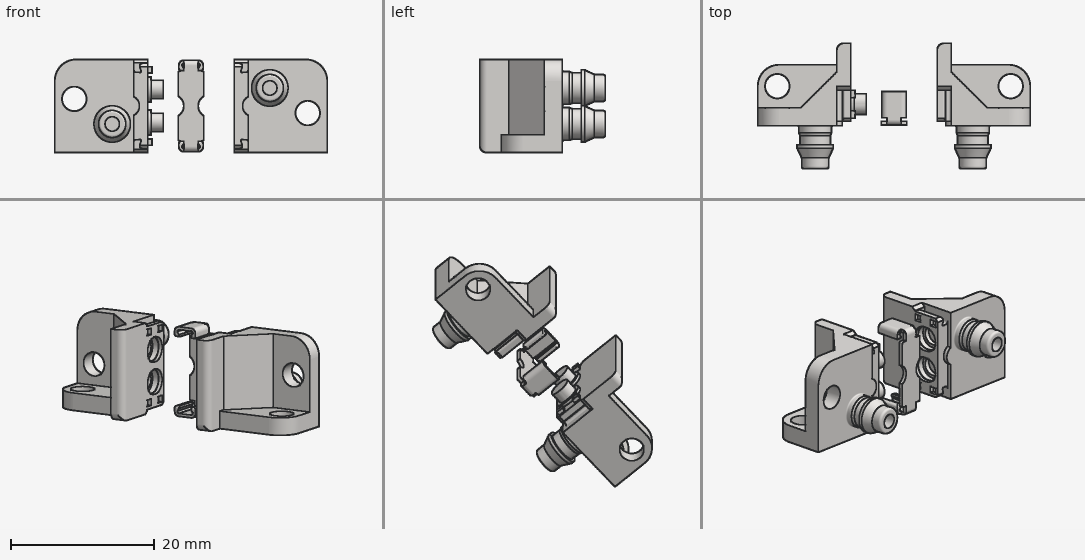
import cadquery as cq
import math

TOTAL_LENGTH = 38.0
HOUSING_LENGTH = 13.0
PLATE_THICKNESS = 1.98
HOUSING_HEIGHT = 13.0
PLATE_BACK_Y = 11.5
MID_Z = HOUSING_HEIGHT / 2
OUTER_X = -TOTAL_LENGTH / 2
MATING_X = OUTER_X + HOUSING_LENGTH
BLOCK_X = MATING_X - PLATE_THICKNESS

WALL_THICKNESS = 2.5
FLANGE_THICKNESS = 2.5
FLANGE_BACK_Y = 8.5
CORNER_RADIUS = 3.0
GUSSET_START = 6.0
GUSSET_BACK_Y = 7.5
PLATE_EDGE_RADIUS = 1.0
HOLE_DIAMETER = 3.4
HOLE_INSET = 2.75
FLANGE_HOLE_Y = 5.5
WALL_HOLE_RISE = 1.0

BARB_INSET = 8.0
BARB_DROP = 2.5
BORE_DIAMETER = 2.0
COLLAR_DIAMETER = 4.6
NECK_DIAMETER = 4.3
RIDGE_DIAMETER = 5.1
TIP_DIAMETER = 3.8
COLLAR_END = 0.95
NECK_START = 1.35
RIDGE_START = 2.62
RIDGE_END = 3.1
TIP_START = 4.5
BARB_LENGTH = 6.0
TIP_FILLET = 0.35
ROOT_FILLET = 0.2

SEAT_FRONT_Y = 0.6
SEAT_BACK_Y = 4.98
SEAT_DROP = 0.57
SLOPE_LENGTH = 0.55
SLOPE_HEIGHT = 0.5
SEAT_CHAMFER = 0.45
HOOK_POCKET_DROP = 1.82
TENON_EDGE = 0.85
TENON_ROUND = 0.35
UNDERCUT_TOP = 1.1
UNDERCUT_EDGE = 1.03
UNDERCUT_BOTTOM = 1.55
UNDERCUT_ROUND = 0.25
POCKET_FILLET = 0.38
BUMP_RADIUS = 1.45
BUMP_REACH = 0.8

PORT_Y = 3.0
PORT_SPACING = 4.6
PORT_STRETCH = 0.35
PIN_WIDTH = 2.6
PIN_LENGTH = 2.15
PIN_COLLAR_WIDTH = 3.55
PIN_COLLAR_LENGTH = 0.45
PIN_HOLE_DEPTH = 2.28
COUNTERBORE_WIDTH = 3.42
COUNTERBORE_DEPTH = 1.52
PEG_Y_SIZE = 1.03
PEG_Z_SIZE = 0.9
PEG_LENGTH = 0.57
PEG_Y_SPACING = 2.9
PEG_Z_SPACING = 10.07

CLIP_WIDTH = 3.57
CLIP_NECK_WIDTH = 1.98
CLIP_FRONT_Y = 0.08
CLIP_BACK_Y = 4.8
HOOK_FRONT_Y = 1.1
CLIP_DROP = 0.1
CLIP_THICKNESS = 0.57
CLIP_CORNER_RADIUS = 0.75
ARM_THICKNESS = 0.4
SHOULDER_DROP = 1.6
NOTCH_RADIUS = 1.6
HOOK_RADIUS = 0.72
HOOK_THICKNESS = 0.45
HOOK_LIP_DROP = 1.25
HOOK_TIP_DROP = 1.6
HOOK_TIP_FILLET = 0.35
SHOULDER_FILLET = 0.23

ARC_MID_INSET = 1 - math.sqrt(0.5)


def box(x0, x1, y0, y1, z0, z1):
    """Box between two opposite corners."""
    return cq.Workplane("XY").box(x1 - x0, y1 - y0, z1 - z0, centered=False).translate((x0, y0, z0))


def with_mirror(shape, plane, base):
    """Shape joined to its mirror image."""
    return shape.union(shape.mirror(plane, base))


def at_both_ends(shape):
    """Shape joined to its mirror image about the mid height."""
    return with_mirror(shape, "XY", (0, 0, MID_Z))


def along_y(start_y, depth, draw):
    """Extrude an X-Z outline toward +Y; draw(workplane) returns the closed wire."""
    workplane = cq.Workplane("XZ", origin=(0, start_y, 0))
    return draw(workplane).extrude(-depth)


def bracket(edge_x):
    """Front wall, bottom flange, corner gusset and plate; edge_x is the plate's rounded rear side."""
    wall = box(OUTER_X, BLOCK_X, 0, WALL_THICKNESS, 0, HOUSING_HEIGHT)
    wall = wall.edges("|Y and <X and >Z").fillet(CORNER_RADIUS)
    flange = box(OUTER_X, BLOCK_X, 0, FLANGE_BACK_Y, 0, FLANGE_THICKNESS)
    flange = flange.edges("|Z and <X and >Y").fillet(CORNER_RADIUS)
    gusset = (
        cq.Workplane("XY")
        .moveTo(OUTER_X + GUSSET_START, WALL_THICKNESS)
        .lineTo(BLOCK_X, GUSSET_BACK_Y)
        .lineTo(BLOCK_X, WALL_THICKNESS)
        .close()
        .extrude(HOUSING_HEIGHT)
    )
    plate = box(BLOCK_X, MATING_X, 0, PLATE_BACK_Y, 0, HOUSING_HEIGHT)
    side = "<X" if edge_x == BLOCK_X else ">X"
    plate = plate.edges(f"(|Z and >Y and {side}) or (|X and >Y and <Z)").fillet(PLATE_EDGE_RADIUS)
    return wall.union(flange).union(gusset).union(plate)


def mounting_holes(wall_hole_z):
    """Drills for the hole through the front wall and the one through the flange."""
    hole_x = OUTER_X + HOLE_INSET
    radius = HOLE_DIAMETER / 2
    wall_hole = cq.Workplane("XZ", origin=(hole_x, 0, wall_hole_z)).circle(radius).extrude(-WALL_THICKNESS)
    flange_hole = (
        cq.Workplane("XY", origin=(hole_x, FLANGE_HOLE_Y, 0)).circle(radius).extrude(FLANGE_THICKNESS)
    )
    return wall_hole.union(flange_hole)


def hose_barb(barb_z):
    """Turned hose barb pointing toward -Y, with a blind bore as deep as the barb."""
    tip_radius = TIP_DIAMETER / 2
    corner = TIP_FILLET * ARC_MID_INSET
    root_corner = ROOT_FILLET * ARC_MID_INSET
    collar_radius = COLLAR_DIAMETER / 2
    barb = (
        cq.Workplane("XY")
        .moveTo(0, WALL_THICKNESS / 2)
        .lineTo(collar_radius + ROOT_FILLET, WALL_THICKNESS / 2)
        .lineTo(collar_radius + ROOT_FILLET, 0)
        .threePointArc(
            (collar_radius + root_corner, -root_corner),
            (collar_radius, -ROOT_FILLET),
        )
        .lineTo(collar_radius, -COLLAR_END)
        .lineTo(NECK_DIAMETER / 2, -NECK_START)
        .lineTo(NECK_DIAMETER / 2, -RIDGE_START)
        .lineTo(RIDGE_DIAMETER / 2, -RIDGE_START)
        .lineTo(RIDGE_DIAMETER / 2, -RIDGE_END)
        .lineTo(tip_radius, -TIP_START)
        .lineTo(tip_radius, TIP_FILLET - BARB_LENGTH)
        .threePointArc(
            (tip_radius - corner, corner - BARB_LENGTH),
            (tip_radius - TIP_FILLET, -BARB_LENGTH),
        )
        .lineTo(0, -BARB_LENGTH)
        .close()
        .revolve(360, (0, 0, 0), (0, 1, 0))
    )
    bore = cq.Workplane("XZ").circle(BORE_DIAMETER / 2).extrude(BARB_LENGTH)
    return barb.cut(bore).translate((OUTER_X + BARB_INSET, 0, barb_z))


def clip_seat_cut():
    """Material removed from the plate so that the clip can lie in its front, top and bottom."""
    tenon_top = HOUSING_HEIGHT - SEAT_DROP
    ledge = (
        cq.Workplane("YZ", origin=(BLOCK_X, 0, 0))
        .moveTo(0, MID_Z)
        .lineTo(SEAT_FRONT_Y, MID_Z)
        .lineTo(SEAT_FRONT_Y, tenon_top - SEAT_CHAMFER)
        .lineTo(SEAT_FRONT_Y + SEAT_CHAMFER, tenon_top)
        .lineTo(SEAT_BACK_Y, tenon_top)
        .lineTo(SEAT_BACK_Y, HOUSING_HEIGHT - SLOPE_HEIGHT)
        .lineTo(SEAT_BACK_Y + SLOPE_LENGTH, HOUSING_HEIGHT)
        .lineTo(0, HOUSING_HEIGHT)
        .close()
        .extrude(PLATE_THICKNESS)
    )

    def pocket_outline(workplane):
        def point(offset, drop):
            return (BLOCK_X + offset, HOUSING_HEIGHT - drop)

        tenon_corner = TENON_ROUND * ARC_MID_INSET
        fillet_corner = POCKET_FILLET * ARC_MID_INSET
        return (
            workplane.moveTo(*point(0, SEAT_DROP))
            .lineTo(*point(TENON_EDGE + TENON_ROUND, SEAT_DROP))
            .threePointArc(
                point(TENON_EDGE + tenon_corner, SEAT_DROP + tenon_corner),
                point(TENON_EDGE, SEAT_DROP + TENON_ROUND),
            )
            .lineTo(*point(TENON_EDGE, UNDERCUT_TOP))
            .lineTo(*point(UNDERCUT_EDGE, UNDERCUT_BOTTOM))
            .tangentArcPoint(point(UNDERCUT_EDGE - UNDERCUT_ROUND, HOOK_POCKET_DROP), relative=False)
            .lineTo(*point(POCKET_FILLET, HOOK_POCKET_DROP))
            .threePointArc(
                point(fillet_corner, HOOK_POCKET_DROP - fillet_corner),
                point(0, HOOK_POCKET_DROP - POCKET_FILLET),
            )
            .close()
        )

    pocket = along_y(0, SEAT_BACK_Y, pocket_outline)
    bump = along_y(
        0,
        SEAT_FRONT_Y,
        lambda plane: plane.center(BLOCK_X + BUMP_REACH - BUMP_RADIUS, MID_Z).circle(BUMP_RADIUS),
    )
    return at_both_ends(ledge.union(pocket)).cut(bump)


def stadiums(width, x0, x1):
    """Two upright rods along X, their round outline stretched slightly in Y."""
    half_spacing = PORT_SPACING / 2
    return (
        cq.Workplane("YZ", origin=(x0, PORT_Y, MID_Z))
        .pushPoints([(0, -half_spacing), (0, half_spacing)])
        .slot2D(width + PORT_STRETCH, width)
        .extrude(x1 - x0)
    )


def pegs():
    """Four square locating pegs standing on the mating face."""
    return (
        cq.Workplane("YZ", origin=(MATING_X, PORT_Y, MID_Z))
        .rarray(PEG_Y_SPACING, PEG_Z_SPACING, 2, 2)
        .rect(PEG_Y_SIZE, PEG_Z_SIZE)
        .extrude(PEG_LENGTH)
    )


def basic_housing(edge_x, wall_hole_z, barb_z):
    """Housing in the left-hand position without its couplings."""
    return (
        bracket(edge_x)
        .union(hose_barb(barb_z))
        .cut(mounting_holes(wall_hole_z))
        .cut(clip_seat_cut())
    )


def build_plug_housing():
    """Left housing: pins and pegs project from its mating face."""
    collars = stadiums(PIN_COLLAR_WIDTH, MATING_X, MATING_X + PIN_COLLAR_LENGTH)
    pins = stadiums(PIN_WIDTH, MATING_X, MATING_X + PIN_LENGTH)
    housing = basic_housing(BLOCK_X, MID_Z + WALL_HOLE_RISE, MID_Z - BARB_DROP)
    return housing.union(collars).union(pins).union(pegs())


def build_socket_housing():
    """Right housing: mirror-handed, with ports and recesses that receive the pins and pegs."""
    recesses = pegs().mirror("YZ", (MATING_X, 0, 0))
    mouths = stadiums(PIN_COLLAR_WIDTH, MATING_X - PEG_LENGTH, MATING_X)
    counterbores = stadiums(COUNTERBORE_WIDTH, MATING_X - COUNTERBORE_DEPTH, MATING_X)
    pin_holes = stadiums(PIN_WIDTH, MATING_X - PIN_HOLE_DEPTH, MATING_X)
    housing = basic_housing(MATING_X, MID_Z - WALL_HOLE_RISE, MID_Z + BARB_DROP)
    housing = housing.cut(recesses).cut(mouths).cut(counterbores).cut(pin_holes)
    return housing.mirror("YZ")


def clip_face():
    """Front strip of the clip: notched at mid height and necked down at both ends."""
    bottom_z = CLIP_DROP
    top_z = HOUSING_HEIGHT - CLIP_DROP
    back_y = CLIP_FRONT_Y + CLIP_THICKNESS
    strip = box(
        -CLIP_WIDTH / 2,
        CLIP_WIDTH / 2,
        CLIP_FRONT_Y,
        back_y,
        SHOULDER_DROP,
        HOUSING_HEIGHT - SHOULDER_DROP,
    )
    strip = strip.edges("|Y").fillet(SHOULDER_FILLET)
    neck = box(-CLIP_NECK_WIDTH / 2, CLIP_NECK_WIDTH / 2, CLIP_FRONT_Y, back_y, bottom_z, top_z)
    notch_x = PLATE_THICKNESS - BUMP_REACH + BUMP_RADIUS
    notches = along_y(
        CLIP_FRONT_Y,
        CLIP_THICKNESS,
        lambda plane: plane.pushPoints([(-notch_x, MID_Z), (notch_x, MID_Z)]).circle(NOTCH_RADIUS),
    )
    return strip.union(neck).cut(notches)


def clip_arm():
    """Top arm of the clip reaching back over the plates."""
    top_z = HOUSING_HEIGHT - CLIP_DROP
    half_width = CLIP_NECK_WIDTH / 2
    return box(-half_width, half_width, CLIP_FRONT_Y, CLIP_BACK_Y, top_z - ARM_THICKNESS, top_z)


def clip_hook():
    """Hook on the right edge of the top arm, curling down around the plate's tenon."""
    root_x = CLIP_NECK_WIDTH / 2
    outer_x = root_x + HOOK_RADIUS
    inner_radius = HOOK_RADIUS - HOOK_THICKNESS
    inner_x = root_x + inner_radius
    center_drop = CLIP_DROP + HOOK_RADIUS
    diagonal = math.sqrt(0.5)

    def point(x, drop):
        return (x, HOUSING_HEIGHT - drop)

    def outline(workplane):
        return (
            workplane.moveTo(*point(root_x, CLIP_DROP))
            .threePointArc(
                point(root_x + HOOK_RADIUS * diagonal, center_drop - HOOK_RADIUS * diagonal),
                point(outer_x, center_drop),
            )
            .lineTo(*point(outer_x, HOOK_TIP_DROP))
            .lineTo(*point(root_x, HOOK_TIP_DROP))
            .lineTo(*point(root_x, HOOK_LIP_DROP))
            .lineTo(*point(inner_x, center_drop))
            .threePointArc(
                point(root_x + inner_radius * diagonal, center_drop - inner_radius * diagonal),
                point(root_x, center_drop - inner_radius),
            )
            .close()
        )

    hook = along_y(HOOK_FRONT_Y, CLIP_BACK_Y - HOOK_FRONT_Y, outline)
    return hook.faces("<Z").edges("|X or >X").fillet(HOOK_TIP_FILLET)


def build_clip():
    """Spring clip that holds the two plates together."""
    clip = clip_face().union(at_both_ends(clip_arm()))
    clip = clip.edges("|X and <Y and (<Z or >Z)").fillet(CLIP_CORNER_RADIUS)
    hooks = with_mirror(clip_hook(), "YZ", (0, 0, 0))
    return clip.union(at_both_ends(hooks))


plug_housing = build_plug_housing()
socket_housing = build_socket_housing()
clip = build_clip()

result = cq.Compound.makeCompound([plug_housing.val(), socket_housing.val(), clip.val()])